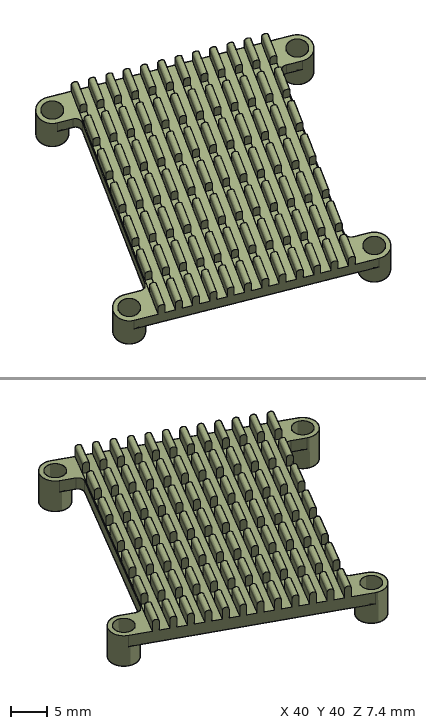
import cadquery as cq

FOOTPRINT = 40.0
PLATE_DEPTH = 28.8
PLATE_THICKNESS = 2.0

POST_DIAMETER = 4.6
HOLE_DIAMETER = 3.1
POST_HEIGHT = 5.4
EAR_FILLET = 1.0

ROW_COUNT = 12
EDGE_MARGIN = 0.15
FIN_WIDTH = 1.0
FIN_HEIGHT = 2.0
SEGMENT_COUNT = 7
SEGMENT_GAP = 2.0
WEB_HEIGHT = 0.1

post_offset = (FOOTPRINT - POST_DIAMETER) / 2
post_centers = [(x, y) for x in (-post_offset, post_offset) for y in (-post_offset, post_offset)]
segment_length = (FOOTPRINT - (SEGMENT_COUNT - 1) * SEGMENT_GAP) / SEGMENT_COUNT
segment_pitch = segment_length + SEGMENT_GAP
row_pitch = (PLATE_DEPTH - 2 * EDGE_MARGIN - FIN_WIDTH) / (ROW_COUNT - 1)


def make_plate():
    """Base plate, top face at Z = 0, with a straight ear reaching to each post."""
    plate = cq.Workplane("XY").box(FOOTPRINT, PLATE_DEPTH, PLATE_THICKNESS, centered=(True, True, False))
    for x in (-post_offset, post_offset):
        ear_strip = (
            cq.Workplane("XY")
            .center(x, 0)
            .rect(POST_DIAMETER, 2 * post_offset)
            .extrude(PLATE_THICKNESS)
        )
        plate = plate.union(ear_strip)
    inner_x = FOOTPRINT / 2 - POST_DIAMETER
    corner_box = cq.selectors.BoxSelector(
        (-inner_x - EAR_FILLET, -PLATE_DEPTH / 2 - EAR_FILLET, 0),
        (inner_x + EAR_FILLET, PLATE_DEPTH / 2 + EAR_FILLET, PLATE_THICKNESS),
    )
    plate = plate.edges("|Z").edges(corner_box).fillet(EAR_FILLET)
    return plate.translate((0, 0, -PLATE_THICKNESS))


def make_posts():
    """Round posts, flush with the plate top and standing below it."""
    return cq.Workplane("XY").pushPoints(post_centers).circle(POST_DIAMETER / 2).extrude(-POST_HEIGHT)


def make_post_holes():
    """Cutters for the through holes along the post axes."""
    return cq.Workplane("XY").pushPoints(post_centers).circle(HOLE_DIAMETER / 2).extrude(-POST_HEIGHT)


def make_fin():
    """One fin segment with a fully rounded crest, centred on the origin in X and Y."""
    half_width = FIN_WIDTH / 2
    shoulder = FIN_HEIGHT - half_width
    return (
        cq.Workplane("YZ")
        .moveTo(-half_width, 0)
        .lineTo(half_width, 0)
        .lineTo(half_width, shoulder)
        .threePointArc((0, FIN_HEIGHT), (-half_width, shoulder))
        .close()
        .extrude(segment_length / 2, both=True)
    )


def make_fins():
    """Grid of fin segments, centred on the plate."""
    fin = make_fin().val()
    grid = cq.Workplane("XY").rarray(segment_pitch, row_pitch, SEGMENT_COUNT, ROW_COUNT)
    return grid.eachpoint(lambda place: fin.moved(place))


def make_webs():
    """Low full-length strips joining the segments of each row."""
    rows = cq.Workplane("XY").rarray(FOOTPRINT, row_pitch, 1, ROW_COUNT)
    return rows.rect(FOOTPRINT, FIN_WIDTH).extrude(WEB_HEIGHT)


body = make_plate().union(make_posts()).cut(make_post_holes())
result = body.union(make_webs()).union(make_fins())